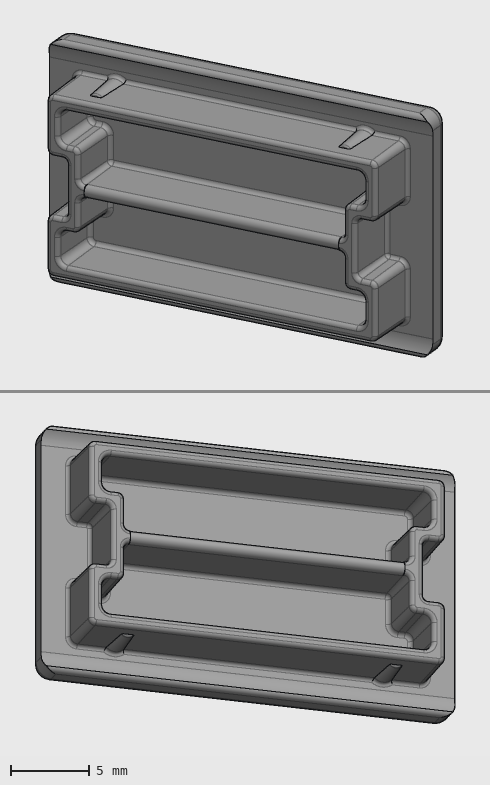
import cadquery as cq
import math

PLATE_LENGTH = 27.77
PLATE_HEIGHT = 16.77
PLATE_THICKNESS = 2.0
PLATE_CORNER_RADIUS = 1.01
PLATE_BACK_FILLET = 1.0

LIP_RISE = 0.3
LIP_EDGE_RADIUS = 0.36
LIP_FLARE_START = 7.0

SOCKET_HALF_LENGTH = 12.0
SOCKET_HALF_HEIGHT = 6.3
SOCKET_DEPTH = 4.0
NOTCH_FLOOR = 10.53
NOTCH_HALF_HEIGHT = 2.0
DRAFT_ANGLE = 1.0
OUTER_CORNER_RADIUS = 0.5
NOTCH_CORNER_RADIUS = 0.3
ROOT_FILLET = 0.25
RIM_FILLET = 0.3

WALL = 1.0
POCKET_DEPTH = 4.0
RIB_HALF_THICKNESS = WALL / 2
POCKET_CORNER_RADIUS = 0.5
RIB_CORNER_RADIUS = 0.32
FLOOR_FILLET = 0.3

CRUSH_RIB_OFFSET = 9.0
CRUSH_RIB_LENGTH = 2.87
CRUSH_RIB_ROOT_WIDTH = 1.22
CRUSH_RIB_ROOT_HEIGHT = 0.24
CRUSH_RIB_TIP_WIDTH = 0.82
CRUSH_RIB_TIP_HEIGHT = 0.18
CRUSH_RIB_TIP_FILLET = 0.12

SELECTION_MARGIN = 0.01


def draft_shift(length):
    """Sideways shift of a drafted wall over the given length."""
    return length * math.tan(math.radians(DRAFT_ANGLE))


def plane_at(y):
    """Sketch plane parallel to XZ whose normal points towards -Y."""
    return cq.Workplane("XZ", origin=(0, y, 0))


def rounded_prism(points, radii, y, depth, taper):
    """Drafted prism towards -Y; each corner of the outline has its own radius."""
    outline = None
    count = len(points)
    for i, (x, z) in enumerate(points):
        before = cq.Vector(*points[i - 1])
        corner = cq.Vector(x, z)
        after = cq.Vector(*points[(i + 1) % count])
        to_before = (before - corner).normalized()
        to_after = (after - corner).normalized()
        centre = corner + (to_before + to_after) * radii[i]
        start = corner + to_before * radii[i]
        end = corner + to_after * radii[i]
        middle = centre + (corner - centre).normalized() * radii[i]
        if outline is None:
            outline = plane_at(y).moveTo(start.x, start.y)
        else:
            outline = outline.lineTo(start.x, start.y)
        outline = outline.threePointArc((middle.x, middle.y), (end.x, end.y))
    return outline.close().extrude(depth, taper=taper)


def make_plate():
    """Lipped bar trimmed to a rounded rectangle with a rounded back edge."""
    half_height = PLATE_HEIGHT / 2
    crest = half_height - LIP_EDGE_RADIUS
    edge_centre_y = LIP_EDGE_RADIUS - LIP_RISE
    run = crest - LIP_FLARE_START
    flare_radius = (run**2 + LIP_RISE**2) / (2 * LIP_RISE)
    half_angle = math.asin(run / flare_radius) / 2
    flare_mid_y = -flare_radius * (1 - math.cos(half_angle))
    flare_mid_z = LIP_FLARE_START + flare_radius * math.sin(half_angle)
    edge_mid_y = edge_centre_y - LIP_EDGE_RADIUS * math.sin(math.pi / 4)
    edge_mid_z = crest + LIP_EDGE_RADIUS * math.cos(math.pi / 4)

    bar = (
        cq.Workplane("YZ")
        .moveTo(PLATE_THICKNESS, 0)
        .lineTo(0, 0)
        .lineTo(0, LIP_FLARE_START)
        .threePointArc((flare_mid_y, flare_mid_z), (-LIP_RISE, crest))
        .threePointArc((edge_mid_y, edge_mid_z), (edge_centre_y, half_height))
        .lineTo(PLATE_THICKNESS, half_height)
        .close()
        .extrude(PLATE_LENGTH / 2, both=True)
    )
    bar = bar.union(bar.mirror("XY"))
    outline = (
        plane_at(PLATE_THICKNESS)
        .rect(PLATE_LENGTH, PLATE_HEIGHT)
        .extrude(PLATE_THICKNESS + LIP_RISE)
        .edges("|Y")
        .fillet(PLATE_CORNER_RADIUS)
        .faces(">Y")
        .edges()
        .fillet(PLATE_BACK_FILLET)
    )
    return bar.intersect(outline)


def make_socket_block():
    """Solid drafted socket with a notch in each end."""
    quarter = [
        (NOTCH_FLOOR, NOTCH_HALF_HEIGHT),
        (SOCKET_HALF_LENGTH, NOTCH_HALF_HEIGHT),
        (SOCKET_HALF_LENGTH, SOCKET_HALF_HEIGHT),
    ]
    radii = [NOTCH_CORNER_RADIUS, OUTER_CORNER_RADIUS, OUTER_CORNER_RADIUS]
    points = quarter + [(-x, z) for x, z in reversed(quarter)]
    points += [(-x, -z) for x, z in quarter] + [(x, -z) for x, z in reversed(quarter)]
    all_radii = (radii + radii[::-1]) * 2
    block = rounded_prism(points, all_radii, 0, SOCKET_DEPTH, DRAFT_ANGLE)
    return block.faces("<Y").edges().fillet(RIM_FILLET)


def segment_radius(width, height):
    """Radius of the circle whose segment has the given chord width and height."""
    return width**2 / (8 * height) + height / 2


def make_crush_rib(x):
    """Tapered rib of round section that stands on the upper side of the socket."""
    tip_surface = SOCKET_HALF_HEIGHT - draft_shift(CRUSH_RIB_LENGTH)
    root_radius = segment_radius(CRUSH_RIB_ROOT_WIDTH, CRUSH_RIB_ROOT_HEIGHT)
    tip_radius = segment_radius(CRUSH_RIB_TIP_WIDTH, CRUSH_RIB_TIP_HEIGHT)
    root_centre = SOCKET_HALF_HEIGHT + CRUSH_RIB_ROOT_HEIGHT - root_radius
    tip_centre = tip_surface + CRUSH_RIB_TIP_HEIGHT - tip_radius
    return (
        plane_at(0)
        .center(x, root_centre)
        .circle(root_radius)
        .workplane(offset=CRUSH_RIB_LENGTH)
        .center(0, tip_centre - root_centre)
        .circle(tip_radius)
        .loft()
        .faces("<Y")
        .edges()
        .fillet(CRUSH_RIB_TIP_FILLET)
    )


def fillet_root(body):
    """Blend the socket into the plate."""
    reach = SOCKET_HALF_HEIGHT + CRUSH_RIB_ROOT_HEIGHT + SELECTION_MARGIN
    root = cq.selectors.BoxSelector(
        (-SOCKET_HALF_LENGTH - SELECTION_MARGIN, -SELECTION_MARGIN, -reach),
        (SOCKET_HALF_LENGTH + SELECTION_MARGIN, SELECTION_MARGIN, reach),
        boundingbox=True,
    )
    return body.edges(root).fillet(ROOT_FILLET)


def make_pocket():
    """Upper pocket, widening from its floor to its mouth."""
    narrow = NOTCH_FLOOR - WALL
    wide = SOCKET_HALF_LENGTH - WALL
    step = NOTCH_HALF_HEIGHT + WALL
    top = SOCKET_HALF_HEIGHT - WALL
    half = [(narrow, RIB_HALF_THICKNESS), (narrow, step), (wide, step), (wide, top)]
    radii = [RIB_CORNER_RADIUS] + [POCKET_CORNER_RADIUS] * 3
    points = half + [(-x, z) for x, z in reversed(half)]
    floor_y = POCKET_DEPTH - SOCKET_DEPTH
    pocket = rounded_prism(points, radii + radii[::-1], floor_y, POCKET_DEPTH, -DRAFT_ANGLE)
    return pocket.faces(">Y").edges().fillet(FLOOR_FILLET)


def fillet_mouths(body):
    """Round the inner edges of the socket's rim."""
    rim = body.faces("<Y").val()
    return body.newObject(rim.innerWires()).edges().fillet(RIM_FILLET)


def make_rib_rounding():
    """Material to remove so that the rib between the pockets has a full round top."""
    radius = (RIB_HALF_THICKNESS - draft_shift(POCKET_DEPTH)) / (1 - draft_shift(1))
    length = 2 * (NOTCH_FLOOR - WALL - RIB_CORNER_RADIUS)
    centre_y = radius - SOCKET_DEPTH
    block = cq.Workplane("XY").box(length, radius, 2 * radius).translate((0, centre_y - radius / 2, 0))
    rod = cq.Workplane("YZ").center(centre_y, 0).circle(radius).extrude(length / 2, both=True)
    return block.cut(rod)


body = make_plate().union(make_socket_block())
for side in (-1, 1):
    crush_rib = make_crush_rib(side * CRUSH_RIB_OFFSET)
    body = body.union(crush_rib).union(crush_rib.mirror("XY"))
body = fillet_root(body)
pocket = make_pocket()
body = body.cut(pocket).cut(pocket.mirror("XY"))
body = fillet_mouths(body)
result = body.cut(make_rib_rounding())